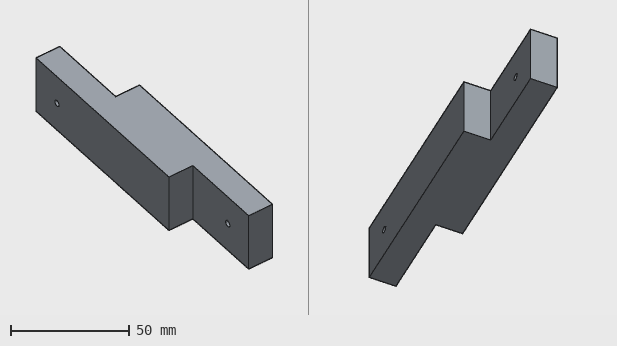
import cadquery as cq

length = 135.0
depth = 25.0
height = 30.0

lap_length = 40.0
lap_depth = depth / 2

hole_diameter = 3.0
hole_end_distance = 15.0


def lap_cut(end):
    """Block removed at one end: the back at the left (-1), the front at the right (+1)."""
    return cq.Workplane("XY").box(lap_length, lap_depth, height).translate(
        (end * (length - lap_length) / 2, -end * (depth - lap_depth) / 2, 0)
    )


def lap_hole(end):
    """Hole along Y through the lap at the given end, centred in height."""
    return (
        cq.Workplane("XZ")
        .center(end * (length / 2 - hole_end_distance), 0)
        .circle(hole_diameter / 2)
        .extrude(depth / 2, both=True)
    )


result = cq.Workplane("XY").box(length, depth, height)
for end in (-1, 1):
    result = result.cut(lap_cut(end)).cut(lap_hole(end))